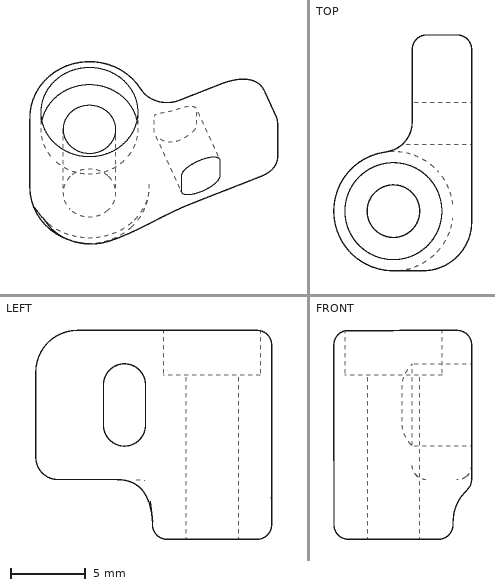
import cadquery as cq
import math

height = 14.0
width = 9.25
length = 15.8
barrel_radius = 8.0 / 2
plate_thickness = 4.0
plate_bottom_z = 4.0

edge_round = 1.0
plan_corner_radius = 3.29
plan_neck_radius = 2.0
top_corner_radius = 2.8
bottom_corner_radius = 1.5
flare_radius = 2.8

bore_diameter = 3.5
counterbore_diameter = 6.5
counterbore_depth = 3
slot_width = 2.8
slot_height = 5.5
slot_center_y = 5.86

front_y = -barrel_radius
plate_end_y = front_y + length
right_face_x = width - barrel_radius
plate_left_x = right_face_x - plate_thickness
plate_middle_z = (plate_bottom_z + height) / 2

neck_center_x = plate_left_x - plan_neck_radius
neck_center_y = math.sqrt((barrel_radius + plan_neck_radius) ** 2 - neck_center_x**2)
neck_center = (neck_center_x, neck_center_y)
neck_angle = math.degrees(math.atan2(neck_center_y, neck_center_x))


def arc_point(center, radius, degrees):
    """Point on a circle at the given angle from its first axis."""
    angle = math.radians(degrees)
    return (center[0] + radius * math.cos(angle), center[1] + radius * math.sin(angle))


def plan_prism(bottom_z, top_z):
    """Barrel and plate outline, joined by a concave neck, between two heights."""
    barrel_touch = arc_point((0, 0), barrel_radius, neck_angle)
    neck_middle_angle = (neck_angle - 180) / 2
    corner_center = (right_face_x - plan_corner_radius, front_y + plan_corner_radius)
    return (
        cq.Workplane("XY", origin=(0, 0, bottom_z))
        .moveTo(0, front_y)
        .lineTo(corner_center[0], front_y)
        .threePointArc(
            arc_point(corner_center, plan_corner_radius, -45),
            (right_face_x, corner_center[1]),
        )
        .lineTo(right_face_x, plate_end_y)
        .lineTo(plate_left_x, plate_end_y)
        .lineTo(plate_left_x, neck_center_y)
        .threePointArc(
            arc_point(neck_center, plan_neck_radius, neck_middle_angle),
            barrel_touch,
        )
        .threePointArc((-barrel_radius, 0), (0, front_y))
        .close()
        .extrude(top_z - bottom_z)
    )


def flare_sector():
    """Part-turn ring whose underside flares from the barrel wall out to the flat plate underside.

    It starts where the front wall touches the barrel and ends where the neck touches it.
    """
    start_angle = -90
    end_angle = neck_angle
    inner_radius = (counterbore_diameter / 2 + barrel_radius) / 2
    outer_radius = 2 * plate_end_y
    flare_center = (barrel_radius + flare_radius, plate_bottom_z - flare_radius)
    flare_start = (barrel_radius, flare_center[1])
    return (
        cq.Workplane("XZ")
        .moveTo(inner_radius, flare_start[1])
        .lineTo(*flare_start)
        .threePointArc(arc_point(flare_center, flare_radius, 135), (flare_center[0], plate_bottom_z))
        .lineTo(outer_radius, plate_bottom_z)
        .lineTo(outer_radius, plate_middle_z)
        .lineTo(inner_radius, plate_middle_z)
        .close()
        .revolve(end_angle - start_angle, (0, 0), (0, 1))
        .rotate((0, 0, 0), (0, 0, 1), start_angle)
    )


def lower_lug():
    """Lower half of the plate with its flare into the barrel and its rounded lower rim."""
    lug = plan_prism(0, plate_middle_z).intersect(flare_sector())
    lug = lug.faces(">Y").edges("<Z").fillet(bottom_corner_radius)
    return lug.faces(">Y").edges("|Z").fillet(edge_round)


def upper_body():
    """Upper half of the plate and barrel with a rounded top rim."""
    body = plan_prism(plate_middle_z, height)
    body = body.faces(">Y").edges(">Z").fillet(top_corner_radius)
    return body.faces(">Y").edges("|Z").fillet(edge_round)


def barrel_foot():
    """Lower half of the barrel with a rounded bottom rim."""
    foot = cq.Workplane("XY").circle(barrel_radius).extrude(plate_middle_z)
    return foot.faces("<Z").edges().fillet(edge_round)


def screw_hole():
    """Through bore with a counterbore from the top."""
    bore = cq.Workplane("XY").circle(bore_diameter / 2).extrude(height)
    counterbore = (
        cq.Workplane("XY", origin=(0, 0, height - counterbore_depth))
        .circle(counterbore_diameter / 2)
        .extrude(counterbore_depth)
    )
    return bore.union(counterbore)


def plate_slot():
    """Upright slot through the plate, centred on the plate height."""
    slot_center = (0, slot_center_y, plate_middle_z)
    return (
        cq.Workplane("YZ", origin=slot_center)
        .slot2D(slot_height, slot_width, 90)
        .extrude(2 * right_face_x, both=True)
    )


body = upper_body().union(barrel_foot()).union(lower_lug()).clean()
result = body.cut(screw_hole()).cut(plate_slot())